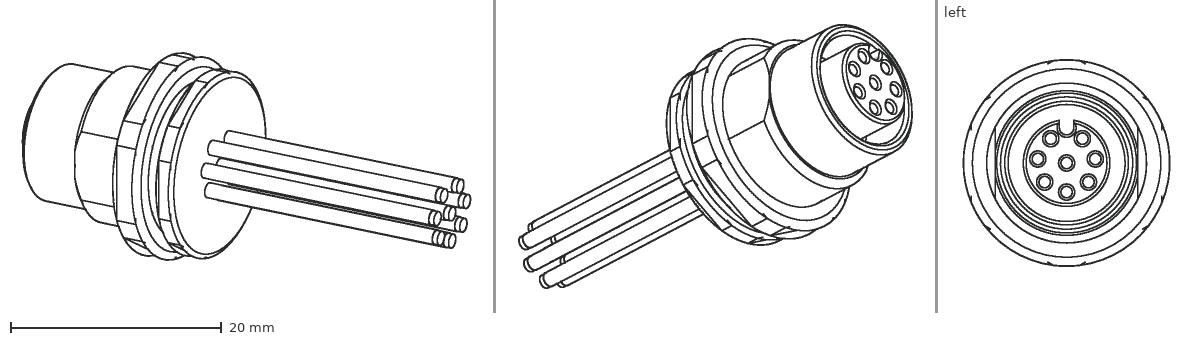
import cadquery as cq
import math

LENGTH = 45.15

INSERT_RADIUS = 4.1
INSERT_CHAMFER = 0.25
GROOVE_DEPTH = 5.4

SLEEVE_START = 1.5
SLEEVE_RADIUS = 6.65
SLEEVE_CHAMFER = 0.35
BORE_RADIUS = 5.55
BORE_CHAMFER = 0.3

BARREL_START = 7.5
BARREL_RADIUS = 7.6
BARREL_CHAMFER = 0.7
FLAT_WIDTH = 13.5

NUT_START = 13.0
NUT_THICKNESS = 3.1
NUT_RADIUS = 9.8
NUT_ACROSS_FLATS = 18.05
NUT_RIM_WIDTH = 0.5
NUT_RIM_DROP = 0.85
RING_WIDTH = 1.4
RING_EDGE_RADIUS = 7.6
RING_RADIUS = 7.8
FLANGE_THICKNESS = 2.0
FLANGE_RADIUS = 9.05
FLANGE_ACROSS_FLATS = 17.05
FLANGE_RIM_WIDTH = 0.3
FLANGE_RIM_DROP = 0.5
NUT_END = NUT_START + NUT_THICKNESS
FLANGE_START = NUT_END + RING_WIDTH
FLANGE_END = FLANGE_START + FLANGE_THICKNESS

CONTACT_CIRCLE_RADIUS = 2.75
OUTER_CONTACTS = 7
CONTACT_PITCH = 49.0
CONTACT_RADIUS = 0.55
CONTACT_DEPTH = 6.0
COUNTERSINK = 0.23
WIRE_RADIUS = 0.7
WIRE_TIP_RADIUS = 0.68
WIRE_TIP_LENGTH = 0.55

KEY_RADIUS = 0.68
KEY_HEIGHT = 3.35
KEY_CHAMFER = 0.23


def cylinder(start, end, radius, y=0.0, z=0.0):
    """Cylinder parallel to X from start to end."""
    axis_point = cq.Vector(start, y, z)
    return cq.Workplane(cq.Solid.makeCylinder(radius, end - start, axis_point, cq.Vector(1, 0, 0)))


def cone(start, length, start_radius, end_radius, y=0.0, z=0.0):
    """Truncated cone parallel to X."""
    axis_point = cq.Vector(start, y, z)
    return cq.Workplane(
        cq.Solid.makeCone(start_radius, end_radius, length, axis_point, cq.Vector(1, 0, 0))
    )


def hexagon_disc(start, thickness, radius, across_flats, rim_width, rim_drop):
    """Disc with six flats, leaving a tapered round rim at each end face."""
    end = start + thickness
    disc = (
        cq.Workplane("XY")
        .moveTo(start, 0)
        .lineTo(start, radius - rim_drop)
        .lineTo(start + rim_width, radius)
        .lineTo(end - rim_width, radius)
        .lineTo(end, radius - rim_drop)
        .lineTo(end, 0)
        .close()
        .revolve(360, (0, 0, 0), (1, 0, 0))
    )
    hexagon = (
        cq.Workplane("YZ", origin=(start + rim_width, 0, 0))
        .transformed(rotate=(0, 0, 90))
        .polygon(6, across_flats / math.cos(math.pi / 6))
        .extrude(thickness - 2 * rim_width)
    )
    outside_flats = cylinder(start + rim_width, end - rim_width, radius).cut(hexagon)
    return disc.cut(outside_flats)


def contact_positions():
    """(y, z) of the contacts; the outer ones are spread evenly about the bottom one."""
    positions = [(0.0, 0.0)]
    for index in range(OUTER_CONTACTS):
        angle = math.radians(-90 + (index - OUTER_CONTACTS // 2) * CONTACT_PITCH)
        y = CONTACT_CIRCLE_RADIUS * math.cos(angle)
        z = CONTACT_CIRCLE_RADIUS * math.sin(angle)
        positions.append((y, z))
    return positions


def sleeve_and_insert():
    """Sleeve with a chamfered bore around the protruding insert."""
    sleeve = cylinder(SLEEVE_START, BARREL_START, SLEEVE_RADIUS).faces("<X").chamfer(SLEEVE_CHAMFER)
    bore = cylinder(SLEEVE_START, SLEEVE_START + GROOVE_DEPTH, BORE_RADIUS)
    bore_mouth = cone(SLEEVE_START, BORE_CHAMFER, BORE_RADIUS + BORE_CHAMFER, BORE_RADIUS)
    insert = cylinder(0, BARREL_START, INSERT_RADIUS).faces("<X").chamfer(INSERT_CHAMFER)
    return sleeve.cut(bore).cut(bore_mouth).union(insert)


def barrel():
    """Threaded barrel, plain and without thread turns, with a flat on each side."""
    flats = cq.Workplane("XY").box(2 * LENGTH, FLAT_WIDTH, 2 * LENGTH)
    round_barrel = cylinder(BARREL_START, NUT_END, BARREL_RADIUS).faces("<X").chamfer(BARREL_CHAMFER)
    return round_barrel.intersect(flats)


def sealing_ring():
    """Slightly bulging ring between the nut and the flange."""
    return (
        cq.Workplane("XY")
        .moveTo(NUT_END, 0)
        .lineTo(NUT_END, RING_EDGE_RADIUS)
        .threePointArc((NUT_END + RING_WIDTH / 2, RING_RADIUS), (FLANGE_START, RING_EDGE_RADIUS))
        .lineTo(FLANGE_START, 0)
        .close()
        .revolve(360, (0, 0, 0), (1, 0, 0))
    )


def key_slot():
    """Round-bottomed slot, open at the top of the insert and chamfered at its mouth."""
    end = SLEEVE_START + GROOVE_DEPTH
    opening = cq.Workplane("XY").box(end, 2 * KEY_RADIUS, INSERT_RADIUS, centered=(False, True, False))
    opening = opening.translate((0, 0, KEY_HEIGHT)).intersect(cylinder(0, end, BORE_RADIUS))
    mouth = cone(0, KEY_CHAMFER, KEY_RADIUS + KEY_CHAMFER, KEY_RADIUS, z=KEY_HEIGHT)
    return cylinder(0, end, KEY_RADIUS, z=KEY_HEIGHT).union(opening).union(mouth)


def make_connector():
    """Housing, insert, sealing ring, flange and wires as one solid."""
    connector = sleeve_and_insert().union(barrel()).union(sealing_ring())
    flange = hexagon_disc(
        FLANGE_START,
        FLANGE_THICKNESS,
        FLANGE_RADIUS,
        FLANGE_ACROSS_FLATS,
        FLANGE_RIM_WIDTH,
        FLANGE_RIM_DROP,
    )
    connector = connector.union(flange).cut(key_slot())
    for y, z in contact_positions():
        hole = cylinder(0, CONTACT_DEPTH, CONTACT_RADIUS, y, z)
        countersink = cone(0, COUNTERSINK, CONTACT_RADIUS + COUNTERSINK, CONTACT_RADIUS, y, z)
        wire = cylinder(FLANGE_END, LENGTH - WIRE_TIP_LENGTH, WIRE_RADIUS, y, z)
        wire_tip = cylinder(FLANGE_END, LENGTH, WIRE_TIP_RADIUS, y, z)
        connector = connector.cut(hole).cut(countersink).union(wire).union(wire_tip)
    return connector


def make_nut():
    """Loose hexagon nut on the barrel."""
    bore = cylinder(NUT_START, NUT_END, BARREL_RADIUS)
    nut = hexagon_disc(
        NUT_START, NUT_THICKNESS, NUT_RADIUS, NUT_ACROSS_FLATS, NUT_RIM_WIDTH, NUT_RIM_DROP
    )
    return nut.cut(bore)


connector = make_connector()
nut = make_nut()
result = cq.Compound.makeCompound([connector.solids().val(), nut.solids().val()])